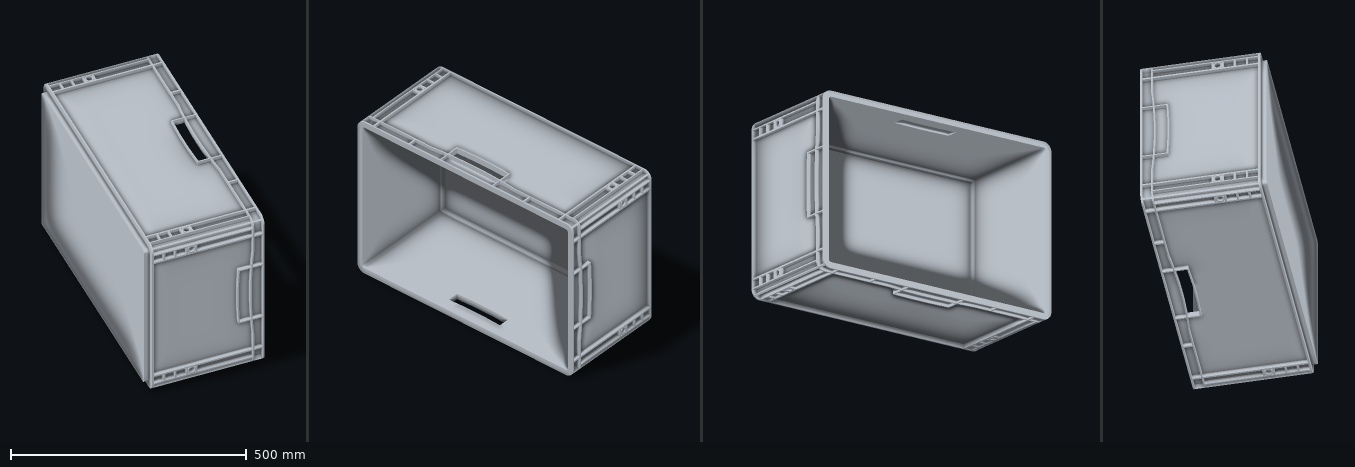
import cadquery as cq
import math


length = 598.0
width = 398.0
height = 270.0
corner_radius = 20.0

rib_depth = 10.0
wall = 3.5
rib = 4.0
thin_rib = 3.0

foot_height = 12.0
foot_clearance = 2.1
cavity_inset = rib_depth + wall
foot_inset = cavity_inset + foot_clearance
foot_radius = 8.0

base_plate_top = foot_height + rib
rim_bottom = height - rib
band_top = 246.5
band_bottom = band_top - thin_rib

post_inner_inset = 40.0
cell_height = 22.0
cell_pitch = cell_height + rib
cell_count = 3
boss_cell_height = 18.0
boss_radius = 9.5
boss_hole_radius = 6.5

handle_half_width = 73.5
handle_sill_end = 213.5
handle_sill_bottom = handle_sill_end - thin_rib
dip_half_width = 113.5
dip_depth = 6.0
dip_radius = (dip_half_width**2 + dip_depth**2) / (2 * dip_depth)

rim_rib_centre = 158.5


def prism(inset, radius, y_start, y_end):
    """Rounded rectangle, inset from the outer outline, spanning y_start to y_end."""
    block = cq.Workplane("XY").box(
        length - 2 * inset, y_end - y_start, width - 2 * inset, centered=(True, False, True)
    )
    return block.edges("|Y").fillet(radius).translate((0, y_start, 0))


def sag(half_width):
    """Drop of the dip arc from its ends to its middle, over a given half width."""
    return dip_radius - math.sqrt(dip_radius**2 - half_width**2)


def bowed_panel(half_width, y_top, y_bottom, z_start, z_end):
    """Panel facing +Z whose top and bottom edges bow towards the base with the dip arc."""
    drop = sag(half_width)
    return (
        cq.Workplane("XY", origin=(0, 0, z_start))
        .moveTo(-half_width, y_top)
        .threePointArc((0, y_top - drop), (half_width, y_top))
        .lineTo(half_width, y_bottom)
        .threePointArc((0, y_bottom - drop), (-half_width, y_bottom))
        .close()
        .extrude(z_end - z_start)
    )


def wall_ribs(half_length, half_depth, with_rim_ribs):
    """Ribs on a wall facing +Z that runs along X and lies half_depth from the axis."""
    z_start = half_depth - rib_depth - wall / 2

    def slab(x_start, x_end, y_start, y_end):
        return (
            cq.Workplane("XY", origin=(0, 0, z_start))
            .moveTo(x_start, y_start)
            .lineTo(x_end, y_start)
            .lineTo(x_end, y_end)
            .lineTo(x_start, y_end)
            .close()
            .extrude(half_depth - z_start)
        )

    outer_rib_end = half_length - corner_radius
    cell_end = outer_rib_end - thin_rib
    cell_start = half_length - post_inner_inset
    boss_bottom = foot_height + cell_count * cell_pitch + rib
    boss_top = boss_bottom + boss_cell_height

    half = slab(cell_start - rib, cell_start, foot_height, height)
    half = half.union(slab(cell_end, outer_rib_end, foot_height, band_top))
    cross_ribs = [foot_height + n * cell_pitch for n in range(1, cell_count + 1)] + [boss_top]
    for y in cross_ribs:
        half = half.union(slab(cell_start, cell_end, y, y + rib))

    ring = (
        cq.Workplane("XY", origin=((cell_start + cell_end) / 2, (boss_bottom + boss_top) / 2, z_start))
        .circle(boss_radius)
        .circle(boss_hole_radius)
        .extrude(half_depth - z_start)
    )
    half = half.union(ring)

    half = half.union(
        slab(handle_half_width - thin_rib, handle_half_width, handle_sill_bottom, height)
    )

    if with_rim_ribs:
        half = half.union(
            slab(rim_rib_centre - rib / 2, rim_rib_centre + rib / 2, band_top - rib / 2, height)
        )

    dip = bowed_panel(dip_half_width, band_top, band_bottom, z_start, half_depth)
    sill = bowed_panel(handle_half_width, handle_sill_end, handle_sill_bottom, z_start, half_depth)
    return half.union(half.mirror("YZ")).union(dip).union(sill)


def about_y(solid, angle):
    """Turn a solid about the crate's upright axis."""
    return solid.rotate((0, 0, 0), (0, 1, 0), angle)


def band():
    """Straight parts of the band below the rim, left open where the handles dip."""
    plate = prism(0, corner_radius, band_bottom, band_top)
    gap = 2 * dip_half_width
    for gap_x, gap_z in ((gap, width), (length, gap)):
        plate = plate.cut(cq.Workplane("XY").box(gap_x, 2 * height, gap_z))
    return plate


def corner_webs():
    """Diagonal webs that join the wall corners to the rounded outer corners."""
    outline = prism(0, corner_radius, foot_height, height)
    centre_x = length / 2 - corner_radius
    centre_z = width / 2 - corner_radius
    webs = cq.Workplane("XY")
    for x_side in (-1, 1):
        for z_side in (-1, 1):
            web = cq.Workplane("XY").box(corner_radius, height, rib, centered=(False, False, True))
            angle = -math.degrees(math.atan2(z_side, x_side))
            webs = webs.add(about_y(web, angle).translate((x_side * centre_x, 0, z_side * centre_z)))
    return webs.combine().intersect(outline)


crate = prism(rib_depth, corner_radius - rib_depth, foot_height, height)
crate = crate.union(prism(0, corner_radius, foot_height, base_plate_top))
crate = crate.union(prism(0, corner_radius, rim_bottom, height))
crate = crate.union(prism(foot_inset, foot_radius, 0, base_plate_top))
crate = crate.union(band()).union(corner_webs())

long_wall = wall_ribs(length / 2, width / 2, True)
end_wall = wall_ribs(width / 2, length / 2, False)
for wall_solid, angle in ((long_wall, 0), (end_wall, 90), (long_wall, 180), (end_wall, 270)):
    crate = crate.union(about_y(wall_solid, angle))

crate = crate.cut(prism(cavity_inset, corner_radius - cavity_inset, base_plate_top, height))
well_inset = foot_inset + wall
crate = crate.cut(prism(well_inset, foot_radius - wall, wall, base_plate_top))

grip_half_width = handle_half_width - thin_rib
grip_top = band_bottom - dip_depth + sag(grip_half_width)
grip_bottom = handle_sill_end - sag(handle_half_width) + sag(grip_half_width)
crate = crate.cut(bowed_panel(grip_half_width, grip_top, grip_bottom, -width / 2, width / 2))

result = crate